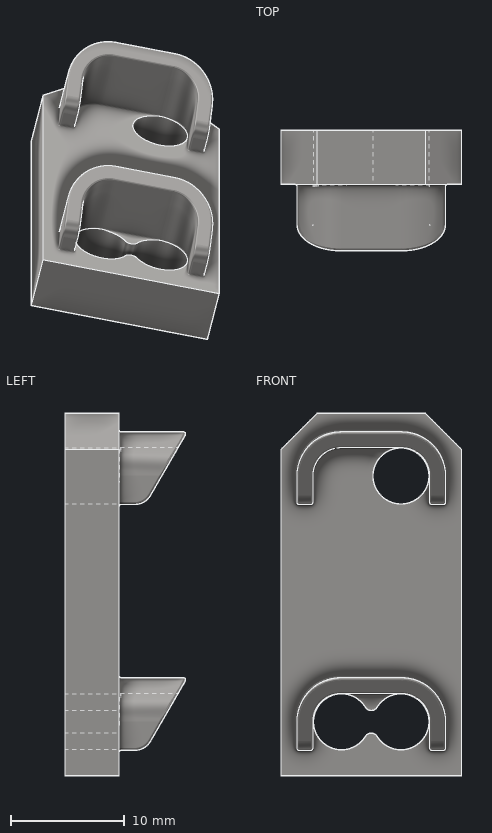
import cadquery as cq
import math

plate_width = 15.9
plate_height = 31.9
plate_depth = 4.8
corner_chamfer = 3.2

hole_radius = 2.45
hole_offset = 2.6
lower_center_z = 4.75
hood_pitch = 21.63
upper_center_z = lower_center_z + hood_pitch
neck_radius = 0.6

hood_reach = 6.0
bend_offset = 2.65
hood_outer_radius = 3.9
hood_thickness = 1.4
hood_inner_radius = hood_outer_radius - hood_thickness
leg_length = 2.52
slope_angle = 30.0
toe_radius = 1.6
edge_radius = 0.2
root_radius = 0.15
clearance = 0.32
edge_tolerance = 0.03


def make_plate():
    body = cq.Workplane("XY").box(
        plate_width, plate_depth, plate_height, centered=(True, False, False)
    )
    return body.edges("|Y and >Z").chamfer(corner_chamfer)


def arch(radius, depth):
    """Solid arch with rounded shoulders, reaching from Y = 0 to Y = -depth."""
    half_width = bend_offset + radius
    diagonal = radius * math.sqrt(0.5)
    return (
        cq.Workplane("XZ")
        .moveTo(-half_width, -leg_length)
        .lineTo(-half_width, 0)
        .threePointArc((-bend_offset - diagonal, diagonal), (-bend_offset, radius))
        .lineTo(bend_offset, radius)
        .threePointArc((bend_offset + diagonal, diagonal), (half_width, 0))
        .lineTo(half_width, -leg_length)
        .close()
        .extrude(depth)
    )


def make_hood():
    """One hood, with the centers of its bends at Z = 0."""
    wall = arch(hood_outer_radius, hood_reach).cut(arch(hood_inner_radius, hood_reach))

    hood_height = hood_outer_radius + leg_length
    toe_reach = hood_reach - hood_height * math.tan(math.radians(slope_angle))
    half_width = bend_offset + hood_outer_radius
    profile = (
        cq.Workplane("YZ", origin=(-half_width, 0, 0))
        .moveTo(0, -leg_length)
        .lineTo(-toe_reach, -leg_length)
        .lineTo(-hood_reach, hood_outer_radius)
        .lineTo(0, hood_outer_radius)
        .close()
        .extrude(2 * half_width)
    )
    toe = cq.selectors.NearestToPointSelector((0, -toe_reach, -leg_length))
    profile = profile.edges("|X").edges(toe).fillet(toe_radius)
    hood = wall.intersect(profile)

    return hood.edges("not(>Y)").fillet(edge_radius)


def make_lower_opening():
    """Two holes joined by a waist whose rounded sides are tangent to both."""
    bump_z = math.sqrt((hole_radius + neck_radius) ** 2 - hole_offset**2)
    tip_z = bump_z - neck_radius
    share = hole_radius / (hole_radius + neck_radius)
    tangent_x = hole_offset * (1 - share)
    tangent_z = bump_z * share
    outer_x = hole_offset + hole_radius
    return (
        cq.Workplane("XZ", origin=(0, 0, lower_center_z))
        .moveTo(-tangent_x, tangent_z)
        .threePointArc((0, tip_z), (tangent_x, tangent_z))
        .threePointArc((outer_x, 0), (tangent_x, -tangent_z))
        .threePointArc((0, -tip_z), (-tangent_x, -tangent_z))
        .threePointArc((-outer_x, 0), (-tangent_x, tangent_z))
        .close()
        .extrude(plate_depth + clearance, both=True)
    )


def make_upper_hole():
    return (
        cq.Workplane("XZ", origin=(hole_offset, 0, upper_center_z))
        .circle(hole_radius)
        .extrude(plate_depth + clearance, both=True)
    )


result = make_plate()
for center_z in (lower_center_z, upper_center_z):
    result = result.union(make_hood().translate((0, 0, center_z)))

search_half_width = plate_width / 2 - clearance
root_zone = cq.selectors.BoxSelector(
    (-search_half_width, -edge_tolerance, clearance),
    (search_half_width, edge_tolerance, plate_height - clearance),
    boundingbox=True,
)
result = result.edges(root_zone).fillet(root_radius)

result = result.cut(make_lower_opening()).cut(make_upper_hole())